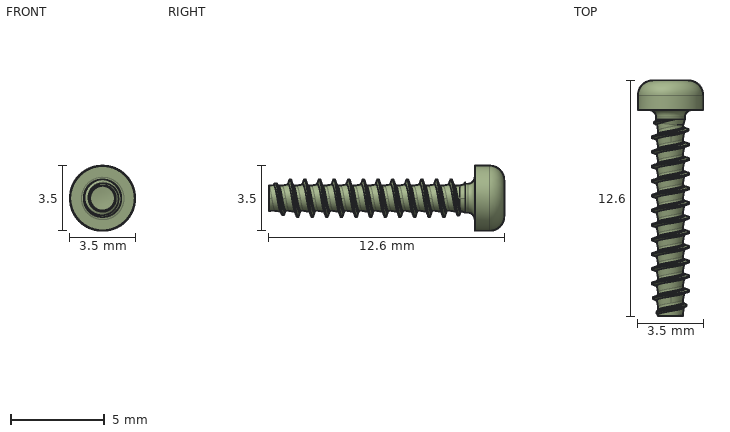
import cadquery as cq
import math


screw_length = 12.6
head_radius = 1.75
head_height = 1.6
dome_radius = 0.81
head_edge_chamfer = 0.04

neck_radius = 0.78
neck_fillet = 0.35
neck_end = 2.09
core_radius = 0.68
taper_end_radius = 0.65
taper_end = 2.46
tip_rim_radius = 0.65
tip_recess_depth = 0.05

pitch = 0.78
crest_radius = 1.01
crest_width = 0.05
head_flank_knee_radius = 0.75
head_flank_knee = 0.1
head_flank_foot = 0.18
shoulder_radius = 0.74
shoulder_start = 0.11
shoulder_end = 0.52
thread_overlap = 0.01

thread_start = 1.29
run_in_turns = 2
full_turns = 11
run_out_turns = 1.5
run_out_crest_radius = 0.7


def make_head_and_neck():
    """Head and neck as one turned profile, ending in a short taper that runs into the core."""
    arc_mid_ratio = math.sin(math.radians(45))
    dome_side = dome_radius * arc_mid_ratio
    dome_mid = (head_radius - dome_radius + dome_side, dome_radius - dome_side)
    fillet_side = neck_fillet * arc_mid_ratio
    fillet_mid = (neck_radius + neck_fillet - fillet_side, head_height + neck_fillet - fillet_side)
    profile = (
        cq.Workplane("XZ")
        .moveTo(0, 0)
        .lineTo(head_radius - dome_radius, 0)
        .threePointArc(dome_mid, (head_radius, dome_radius))
        .lineTo(head_radius, head_height - head_edge_chamfer)
        .lineTo(head_radius - head_edge_chamfer, head_height)
        .lineTo(neck_radius + neck_fillet, head_height)
        .threePointArc(fillet_mid, (neck_radius, head_height + neck_fillet))
        .lineTo(neck_radius, neck_end)
        .lineTo(taper_end_radius, taper_end)
        .lineTo(0, taper_end)
        .close()
    )
    return profile.revolve(360, (0, 0, 0), (0, 1, 0))


def thread_section(section_crest_radius, turns):
    """Closed thread section after the given turns, with its height scaled to the wanted crest."""
    height_ratio = (section_crest_radius - core_radius) / (crest_radius - core_radius)
    knee_radius = core_radius + (head_flank_knee_radius - core_radius) * height_ratio
    section_shoulder_radius = core_radius + (shoulder_radius - core_radius) * height_ratio
    root_radius = core_radius - thread_overlap
    corners = [
        (root_radius, -head_flank_foot),
        (knee_radius, -head_flank_knee),
        (section_crest_radius, -crest_width / 2),
        (section_crest_radius, crest_width / 2),
        (section_shoulder_radius, shoulder_start),
        (root_radius, shoulder_end),
    ]
    outline = cq.Wire.makePolygon([cq.Vector(radius, 0, along) for radius, along in corners], close=True)
    turned = outline.rotate(cq.Vector(0, 0, 0), cq.Vector(0, 0, 1), 360 * turns)
    return turned.translate(cq.Vector(0, 0, pitch * turns))


def make_ridge(turns_before, turns, first_crest_radius, last_crest_radius):
    """One stretch of thread whose crest changes evenly from the first radius to the last."""
    path = cq.Workplane(cq.Wire.makeHelix(pitch, pitch * turns, core_radius))
    sections = cq.Workplane("XY").add(thread_section(first_crest_radius, 0))
    sections = sections.add(thread_section(last_crest_radius, turns)).toPending()
    ridge = sections.sweep(path, multisection=True, isFrenet=True)
    ridge = ridge.rotate((0, 0, 0), (0, 0, 1), 90 + 360 * turns_before)
    return ridge.translate((0, 0, thread_start + pitch * turns_before))


def make_threaded_shank():
    """Core with the rising, full and fading thread, trimmed between the neck and the tip."""
    core_length = pitch * (run_in_turns + full_turns + run_out_turns)
    shank = cq.Workplane("XY").workplane(offset=thread_start).circle(core_radius).extrude(core_length)
    for ridge in (
        make_ridge(0, run_in_turns, core_radius, crest_radius),
        make_ridge(run_in_turns, full_turns, crest_radius, crest_radius),
        make_ridge(run_in_turns + full_turns, run_out_turns, crest_radius, run_out_crest_radius),
    ):
        shank = shank.union(ridge)
    shank_length = screw_length - neck_end
    trim = cq.Workplane("XY").workplane(offset=neck_end).circle(head_radius).extrude(shank_length)
    trim = trim.faces(">Z").chamfer(head_radius - tip_rim_radius)
    return shank.intersect(trim)


def make_tip_recess():
    """Ball whose cap sinks a shallow dish into the end of the tip, out to the rim."""
    ball_radius = (tip_rim_radius**2 + tip_recess_depth**2) / (2 * tip_recess_depth)
    ball_height = screw_length - tip_recess_depth + ball_radius
    return cq.Workplane("XY").sphere(ball_radius).translate((0, 0, ball_height))


screw = make_head_and_neck().union(make_threaded_shank()).cut(make_tip_recess())
result = screw.rotate((0, 0, 0), (1, 0, 0), 90)